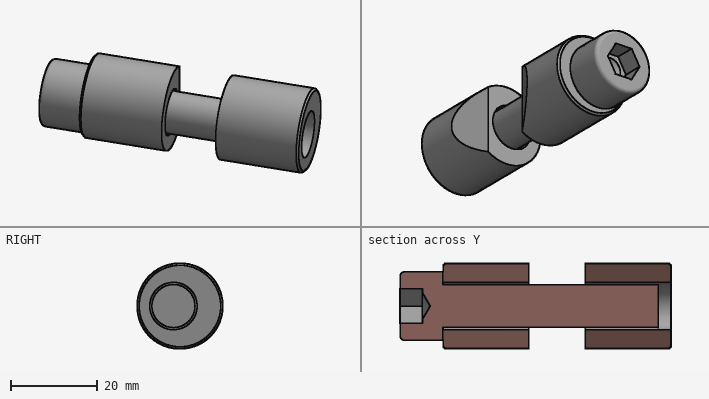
import cadquery as cq
import math

total_length = 63.0
sleeve_diameter = 20.0
sleeve_length = 20.0
sleeve_chamfer = 0.5
bevel_length = 8.0
bevel_angle = 30.0

screw_offset = 1.5
head_diameter = 16.0
head_length = 10.0
head_fillet = 1.0
shank_diameter = 10.0
shank_length = 50.0
socket_width = 8.0
socket_depth = 5.2
socket_cone_diameter = 6.0
socket_cone_angle = 120.0

bore_diameter = 11.0

sleeve_radius = sleeve_diameter / 2
near_sleeve_start = head_length
near_sleeve_end = near_sleeve_start + sleeve_length
far_sleeve_start = total_length - sleeve_length
bevel_drop = bevel_length * math.tan(math.radians(bevel_angle))


def rod(start, length, diameter, y=0.0):
    """Cylinder along +X from the plane X = start."""
    return cq.Workplane("YZ", origin=(start, y, 0)).circle(diameter / 2).extrude(length)


def make_sleeve(outer_face, inner_face):
    """Eccentrically bored sleeve, chamfered outside and bevelled on the +Y side of its inner face."""
    start = min(outer_face, inner_face)
    inward = math.copysign(1, inner_face - outer_face)
    outer_side = "<X" if inward > 0 else ">X"
    body = rod(start, sleeve_length, sleeve_diameter).faces(outer_side).chamfer(sleeve_chamfer)

    bevel = (
        cq.Workplane("XY")
        .moveTo(inner_face - inward * bevel_length, sleeve_radius)
        .lineTo(inner_face, sleeve_radius)
        .lineTo(inner_face, sleeve_radius - bevel_drop)
        .close()
        .extrude(sleeve_radius, both=True)
    )
    bore = rod(start, sleeve_length, bore_diameter, -screw_offset)
    return body.cut(bevel).cut(bore)


def make_socket():
    """Hexagonal recess with two flats square to Z, ending in a conical drill point."""
    across_corners = socket_width / math.cos(math.pi / 6)
    hexagon = (
        cq.Workplane("YZ", origin=(0, -screw_offset, 0))
        .polygon(6, across_corners)
        .extrude(socket_depth)
    )
    cone_radius = socket_cone_diameter / 2
    cone_height = cone_radius / math.tan(math.radians(socket_cone_angle / 2))
    cone = cq.Workplane(
        cq.Solid.makeCone(
            cone_radius, 0, cone_height, cq.Vector(socket_depth, -screw_offset, 0), cq.Vector(1, 0, 0)
        )
    )
    return hexagon.union(cone)


def make_screw():
    """Cylindrical head with a rounded rim, plain shank and hexagonal socket."""
    head = rod(0, head_length, head_diameter, -screw_offset).faces("<X").edges().fillet(head_fillet)
    shank = rod(head_length, shank_length, shank_diameter, -screw_offset)
    return head.union(shank).cut(make_socket())


screw = make_screw()
sleeves = [
    make_sleeve(outer_face, inner_face)
    for outer_face, inner_face in (
        (near_sleeve_start, near_sleeve_end),
        (total_length, far_sleeve_start),
    )
]

result = cq.Compound.makeCompound([screw.val(), *[sleeve.val() for sleeve in sleeves]])